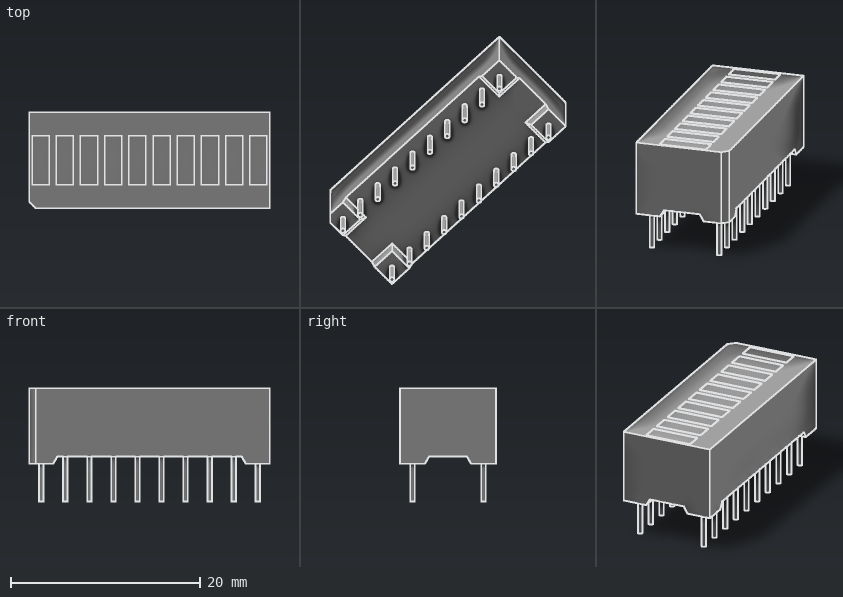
import cadquery as cq
import math


body_length = 25.4
body_width = 10.16
body_height = 8.0
corner_chamfer = 0.7

channel_depth = 0.75
channel_wall_angle = 60.0
foot_length = 2.54
foot_width = 2.65

segment_count = 10
segment_pitch = 2.555
segment_length = 5.16
segment_width = 1.8
segment_recess = 0.05

pin_diameter = 0.5
pins_per_row = 10
pin_length = 4.0
pin_pitch = 2.54
row_spacing = 7.5


def centred_row(count, pitch):
    """X positions of equally spaced items, centred on X = 0."""
    return [(i - (count - 1) / 2) * pitch for i in range(count)]


def make_body():
    body = cq.Workplane("XY").box(body_length, body_width, body_height, centered=(True, True, False))
    return body.edges("|Z and <X and <Y").chamfer(corner_chamfer)


def make_channel(plane, mouth_width, run):
    """Trapezoidal channel, widest at the seating plane, running through the body."""
    half_mouth = mouth_width / 2
    half_roof = half_mouth - channel_depth / math.tan(math.radians(channel_wall_angle))
    profile = [
        (-half_mouth, 0),
        (half_mouth, 0),
        (half_roof, channel_depth),
        (-half_roof, channel_depth),
    ]
    return cq.Workplane(plane).polyline(profile).close().extrude(run / 2, both=True)


def make_segment_recesses():
    return (
        cq.Workplane("XY", origin=(0, 0, body_height))
        .pushPoints([(x, 0) for x in centred_row(segment_count, segment_pitch)])
        .rect(segment_width, segment_length)
        .extrude(-segment_recess)
    )


def make_pins():
    """Two rows of round pins, merged with the body up to the level of the channel roofs."""
    pin_xs = centred_row(pins_per_row, pin_pitch)
    pin_points = [(x, side * row_spacing / 2) for x in pin_xs for side in (-1, 1)]
    return (
        cq.Workplane("XY", origin=(0, 0, -pin_length))
        .pushPoints(pin_points)
        .circle(pin_diameter / 2)
        .extrude(pin_length + channel_depth)
    )


cross_channel = make_channel("XZ", body_length - 2 * foot_length, body_width)
lengthwise_channel = make_channel("YZ", body_width - 2 * foot_width, body_length)

result = (
    make_body()
    .cut(cross_channel)
    .cut(lengthwise_channel)
    .cut(make_segment_recesses())
    .union(make_pins())
)